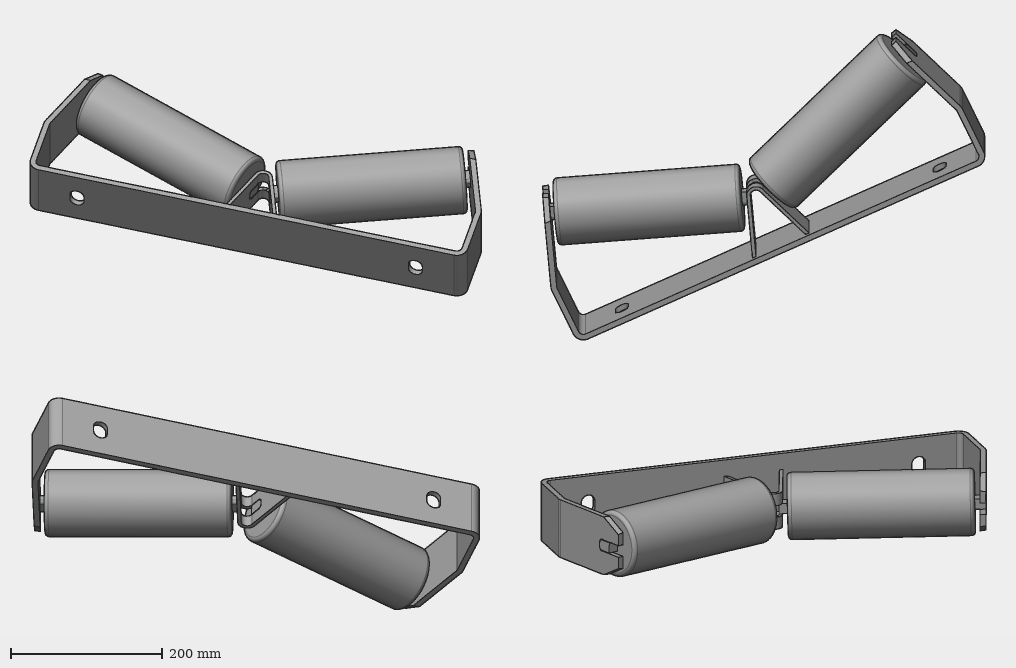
import cadquery as cq
import math

frame_length = 600.0
strip_height = 81.0
frame_thickness = 8.0
bend_radius = 15.0
arm_bend_y = 81.5
arm_length = 120.0
tip_bevel_length = 29.0
tip_bevel_height = 17.0
mount_spacing = 464.5
mount_slot_width = 19.0
mount_slot_height = 27.0

bracket_thickness = 5.0
bracket_height = 50.0
bracket_radius = 12.5
bracket_top_y = 97.0
slot_reach_in_fold = 12.0

lean_angle = 20.0
tilt_angle = 1.5
roller_diameter = 89.5
roller_length = 248.0
roller_edge_radius = 5.5
roller_center_y = 125.0
axle_width = 20.0
axle_height = 14.5
axle_corner_radius = 4.0
axle_slot_height = 16.0
axle_slot_corner_radius = 5.0
axle_slot_length = arm_length

half_length = frame_length / 2
lean = math.radians(lean_angle)
cos_lean = math.cos(lean)
sin_lean = math.sin(lean)

bend_center_x = half_length - bend_radius
arm_outer = bend_center_x * cos_lean + arm_bend_y * sin_lean + bend_radius
arm_inner = arm_outer - frame_thickness
fold_center_y = bracket_top_y - bracket_radius
leg_outer = fold_center_y * sin_lean + bracket_radius
leg_inner = leg_outer - bracket_thickness

axle_length = arm_outer - leg_inner
roller_center = (arm_inner + leg_outer) / 2
axle_center_offset = (arm_outer + leg_inner) / 2 - roller_center
roller_center_x = (roller_center - roller_center_y * sin_lean) / cos_lean
axle_drop = axle_length * math.sin(math.radians(tilt_angle))
roller_center_z = -axle_drop / 2


def mirrored(shape):
    return shape.mirror("YZ")


def place_right(shape):
    """Move a shape built along X at the origin to the axle line of the right roller."""
    return (
        shape.rotate((0, 0, 0), (0, 1, 0), -tilt_angle)
        .rotate((0, 0, 0), (0, 0, 1), lean_angle)
        .translate((roller_center_x, roller_center_y, roller_center_z))
    )


def on_circle(center, radius, degrees):
    angle = math.radians(degrees)
    return (center[0] + radius * math.cos(angle), center[1] + radius * math.sin(angle))


def axle_slot(start, end):
    """Cutter for a slot with a round-cornered floor, open towards +Y, between two axis distances."""
    cutter = (
        cq.Workplane("XY")
        .box(end - start, axle_slot_length, axle_slot_height, centered=(False, False, True))
        .edges("|X and <Y")
        .fillet(axle_slot_corner_radius)
    )
    return place_right(cutter.translate((start - roller_center, -axle_width / 2, 0)))


arm_slot = axle_slot(arm_inner - frame_thickness, arm_outer + frame_thickness)
leg_slot = axle_slot(leg_outer - slot_reach_in_fold, leg_outer + bracket_thickness)


def bevel_tips(frame, tip_y):
    """Cut the corners off the arm tips, straight along X."""
    for side in (1, -1):
        edge_z = side * strip_height / 2
        bevel = (
            cq.Workplane("YZ")
            .polyline([
                (tip_y - tip_bevel_length, edge_z),
                (tip_y, edge_z - side * tip_bevel_height),
                (tip_y, edge_z),
            ])
            .close()
            .extrude(half_length, both=True)
        )
        frame = frame.cut(bevel)
    return frame


def make_frame():
    inner_radius = bend_radius - frame_thickness
    corner = (bend_center_x, bend_radius)
    elbow = (bend_center_x, arm_bend_y)
    outer_elbow_end = on_circle(elbow, bend_radius, lean_angle)
    inner_elbow_end = on_circle(elbow, inner_radius, lean_angle)
    tip_step = (-arm_length * sin_lean, arm_length * cos_lean)
    outer_tip = (outer_elbow_end[0] + tip_step[0], outer_elbow_end[1] + tip_step[1])
    inner_tip = (inner_elbow_end[0] + tip_step[0], inner_elbow_end[1] + tip_step[1])
    half_strip = (
        cq.Workplane("XY")
        .moveTo(0, 0)
        .lineTo(bend_center_x, 0)
        .threePointArc(on_circle(corner, bend_radius, -45), (half_length, bend_radius))
        .lineTo(half_length, arm_bend_y)
        .threePointArc(on_circle(elbow, bend_radius, lean_angle / 2), outer_elbow_end)
        .lineTo(*outer_tip)
        .lineTo(*inner_tip)
        .lineTo(*inner_elbow_end)
        .threePointArc(
            on_circle(elbow, inner_radius, lean_angle / 2), (half_length - frame_thickness, arm_bend_y)
        )
        .lineTo(half_length - frame_thickness, bend_radius)
        .threePointArc(on_circle(corner, inner_radius, -45), (bend_center_x, frame_thickness))
        .lineTo(0, frame_thickness)
        .close()
        .extrude(strip_height / 2, both=True)
    )
    half_strip = half_strip.cut(arm_slot)
    frame = half_strip.union(mirrored(half_strip))

    mounting_slots = (
        cq.Workplane("XZ")
        .pushPoints([(-mount_spacing / 2, 0), (mount_spacing / 2, 0)])
        .slot2D(mount_slot_height, mount_slot_width, 90)
        .extrude(-frame_thickness)
    )
    return bevel_tips(frame, outer_tip[1]).cut(mounting_slots)


def make_bracket():
    fold = (0, fold_center_y)
    inner_radius = bracket_radius - bracket_thickness
    outer_start = on_circle(fold, bracket_radius, lean_angle)
    inner_start = on_circle(fold, inner_radius, lean_angle)
    foot_outer_x = (leg_outer - frame_thickness * sin_lean) / cos_lean
    foot_inner_x = (leg_inner - frame_thickness * sin_lean) / cos_lean
    bracket = (
        cq.Workplane("XY")
        .moveTo(foot_inner_x, frame_thickness)
        .lineTo(foot_outer_x, frame_thickness)
        .lineTo(*outer_start)
        .threePointArc((0, bracket_top_y), (-outer_start[0], outer_start[1]))
        .lineTo(-foot_outer_x, frame_thickness)
        .lineTo(-foot_inner_x, frame_thickness)
        .lineTo(-inner_start[0], inner_start[1])
        .threePointArc((0, fold_center_y + inner_radius), inner_start)
        .close()
        .extrude(bracket_height / 2, both=True)
        .translate((0, 0, -axle_drop))
    )
    return bracket.cut(leg_slot).cut(mirrored(leg_slot))


def make_roller(side):
    """A drum with rounded ends on a flat-sided axle; side is 1 for the right roller, -1 for the left."""
    drum = (
        cq.Workplane("YZ")
        .circle(roller_diameter / 2)
        .extrude(roller_length)
        .edges("%CIRCLE")
        .fillet(roller_edge_radius)
        .translate((-roller_length / 2, 0, 0))
    )
    axle = (
        cq.Workplane("XY")
        .box(axle_length, axle_width, axle_height)
        .edges("|X and <Y")
        .fillet(axle_corner_radius)
        .translate((axle_center_offset, 0, 0))
    )
    roller = place_right(drum.union(axle))
    return roller if side > 0 else mirrored(roller)


frame = make_frame()
bracket = make_bracket()
rollers = [make_roller(side) for side in (1, -1)]

result = cq.Compound.makeCompound([frame.val(), bracket.val(), *[roller.val() for roller in rollers]])